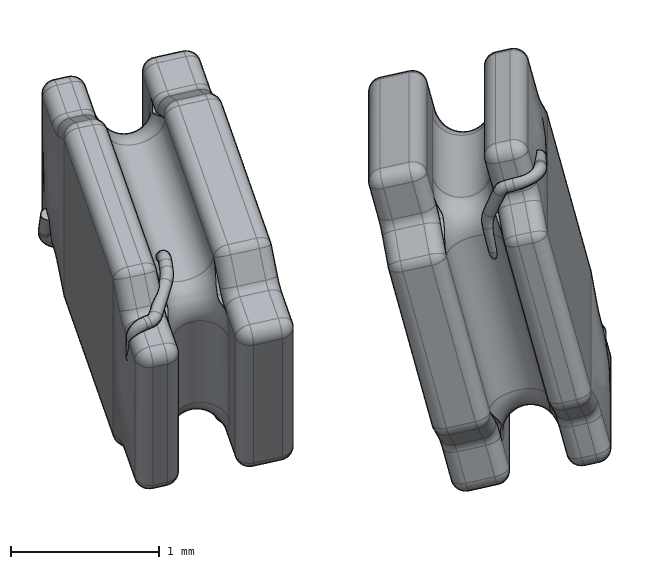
import cadquery as cq
import math

core_length = 2.5
core_height = 1.91
ear_height = 1.5
shoulder_top_x = 0.65
shoulder_foot_x = 0.866
shoulder_angle = math.atan2((core_height - ear_height) / 2, shoulder_foot_x - shoulder_top_x)
edge_radius = 0.1

groove_width = 0.4
groove_radius = groove_width / 2
back_flange_thickness = 0.4
front_flange_thickness = 0.3
front_face_y = -groove_width / 2 - front_flange_thickness

neck_length = 1.6
neck_height = 1.3
neck_corner_radius = 0.2

pad_bulge = 0.045
pad_peak_x = 0.92
pad_root_depth = 0.05

wire_radius = 0.045
lower_lead_end = (-0.94, -0.525, -0.366)
upper_lead_end = (0.98, -0.468, 0.45)
wire_bends = [
    ((-0.96, -0.535, -0.56), 0.3),
    ((-0.98, -0.535, -0.755), 0.17),
    ((-0.965, -0.27, -0.75), 0.07),
    ((-0.72, -0.11, -0.665), 0.2),
    ((-0.42, -0.1, -0.64), 0.1),
    ((0.455, -0.1, 0.775), 0.1),
    ((0.625, -0.125, 0.77), 0.3),
    ((0.955, -0.31, 0.775), 0.07),
    ((0.978, -0.465, 0.76), 0.1),
]


def flange_outline():
    """Corners of a flange, going round from the upper right."""
    half_length = core_length / 2
    half_height = core_height / 2
    half_ear = ear_height / 2
    quarter = [
        (half_length, half_ear),
        (shoulder_foot_x, half_ear),
        (shoulder_top_x, half_height),
    ]
    upper = quarter + [(-x, z) for x, z in reversed(quarter)]
    return upper + [(-x, -z) for x, z in upper]


def make_flange(back_y, thickness):
    """Flange plate with every edge rounded, reaching from back_y toward -Y."""
    plate = cq.Workplane("XZ", origin=(0, back_y, 0)).polyline(flange_outline()).close().extrude(thickness)
    return plate.edges("|Y").fillet(edge_radius).faces("<Y or >Y").edges().fillet(edge_radius)


def make_neck():
    """Neck whose sides hollow in by a half round, so that it flares to meet both flanges."""
    half_width = groove_width / 2
    corner_x = neck_length / 2 - neck_corner_radius
    corner_z = neck_height / 2 - neck_corner_radius
    flare_reach = neck_corner_radius + groove_radius

    def groove_profile(plane):
        half = plane.moveTo(0, -half_width).lineTo(flare_reach, -half_width)
        half = half.threePointArc((neck_corner_radius, 0), (flare_reach, half_width))
        return half.lineTo(0, half_width).close()

    neck = cq.Workplane("XY").box(2 * corner_x, groove_width, 2 * corner_z)
    for side in (-1, 1):
        end_plane = cq.Plane((side * corner_x, 0, -side * corner_z), (side, 0, 0), (0, 0, side))
        end_strip = groove_profile(cq.Workplane(end_plane)).extrude(2 * corner_z)
        edge_plane = cq.Plane((corner_x * side, 0, corner_z * side), (0, 0, side), (-side, 0, 0))
        edge_strip = groove_profile(cq.Workplane(edge_plane)).extrude(2 * corner_x)
        neck = neck.union(end_strip).union(edge_strip)
        for end in (-1, 1):
            corner_plane = cq.Plane((end * corner_x, 0, side * corner_z), (1, 0, 0), (0, 0, 1))
            corner = groove_profile(cq.Workplane(corner_plane)).revolve(360, (0, 0), (0, 1))
            neck = neck.union(corner)

    limit = cq.Workplane("XZ", origin=(0, half_width, 0)).polyline(flange_outline()).close()
    return neck.intersect(limit.offset2D(-edge_radius).extrude(groove_width))


def make_pad(side):
    """Shallow bulge on the front face, on the left (side = -1) or right (side = 1)."""
    rim_x = core_length / 2 - edge_radius
    ear_z = ear_height / 2 - edge_radius
    tall_z = core_height / 2 - edge_radius
    corner_setback = edge_radius * math.tan(shoulder_angle / 2)
    inner_x = shoulder_top_x - corner_setback

    foot_radius = 2 * edge_radius
    foot_centre_x = shoulder_foot_x + corner_setback

    def foot_point(angle, end):
        x = foot_centre_x - foot_radius * math.sin(angle)
        z = ear_z + foot_radius * (1 - math.cos(angle))
        return side * x, end * z

    rim = cq.Workplane("XZ", origin=(0, front_face_y, 0)).moveTo(side * rim_x, ear_z)
    rim = rim.lineTo(*foot_point(0, 1))
    rim = rim.threePointArc(foot_point(shoulder_angle / 2, 1), foot_point(shoulder_angle, 1))
    rim = rim.lineTo(side * inner_x, tall_z).lineTo(side * inner_x, -tall_z)
    rim = rim.lineTo(*foot_point(shoulder_angle, -1))
    rim = rim.threePointArc(foot_point(shoulder_angle / 2, -1), foot_point(0, -1))
    rim = rim.lineTo(side * rim_x, -ear_z).close()
    root = rim.extrude(-pad_root_depth)
    rim_edges = root.faces("<Y").edges().vals()
    peak = cq.Vector(side * pad_peak_x, front_face_y - pad_bulge, 0)
    dome = cq.Face.makeNSidedSurface(rim_edges, [peak])
    shell = cq.Shell.makeShell([dome, *root.faces("not <Y").vals()])
    return cq.Workplane(obj=cq.Solid.makeSolid(shell))


def make_wire():
    """Round wire with flat ends, swept along straight runs joined by arcs."""
    corners = [cq.Vector(*point) for point, bend_radius in wire_bends]
    finish = cq.Vector(*upper_lead_end)
    run_start = cq.Vector(*lower_lead_end)
    start_direction = corners[0] - run_start
    edges = []
    for corner, following, (_, bend_radius) in zip(corners, corners[1:] + [finish], wire_bends):
        incoming = (corner - run_start).normalized()
        outgoing = (following - corner).normalized()
        setback = bend_radius * math.tan(incoming.getAngle(outgoing) / 2)
        bend_start = corner - incoming * setback
        bend_end = corner + outgoing * setback
        edges.append(cq.Edge.makeLine(run_start, bend_start))
        edges.append(cq.Edge.makeTangentArc(bend_start, incoming, bend_end))
        run_start = bend_end
    edges.append(cq.Edge.makeLine(run_start, finish))

    path = cq.Workplane(obj=cq.Wire.assembleEdges(edges))
    end_plane = cq.Plane(lower_lead_end, (1, 0, 0), start_direction)
    return cq.Workplane(end_plane).circle(wire_radius).sweep(path)


wire = make_wire()

core = make_flange(groove_width / 2 + back_flange_thickness, back_flange_thickness)
core = core.union(make_neck())
core = core.union(make_flange(-groove_width / 2, front_flange_thickness))
for side in (-1, 1):
    core = core.union(make_pad(side))
core = core.cut(wire)

result = cq.Compound.makeCompound([core.val(), wire.val()])